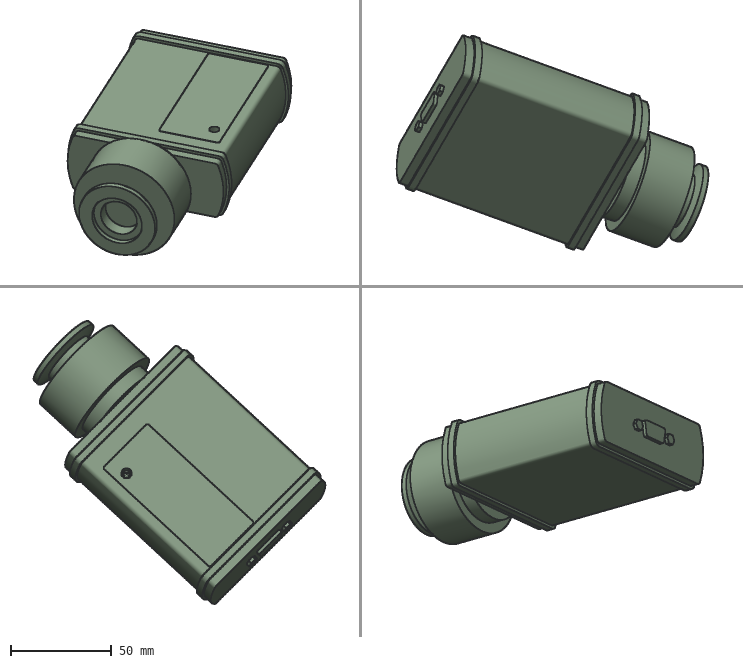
import cadquery as cq
import math

FLANGE_RIM_END = 2.9
NECK_START = 4.6
COLLAR_START = 10.5
SHOULDER_START = 34.8
HOUSING_START = 41.9
FRONT_RIB_START = 46.5
RIB_WIDTH = 3.7
REAR_RIB_START = 133.8
CONNECTOR_HEIGHT = 1.9
OVERALL_LENGTH = 144.0
HOUSING_END = OVERALL_LENGTH - CONNECTOR_HEIGHT

FLANGE_DIAMETER = 40.0
NECK_DIAMETER = 28.0
COLLAR_DIAMETER = 53.0
SHOULDER_DIAMETER = 42.5
COUNTERBORE_DIAMETER = 26.2
COUNTERBORE_DEPTH = 2.7
BORE_DIAMETER = 19.0
BORE_END = 9.6

HOUSING_WIDTH = 82.1
HOUSING_HEIGHT = 32.0
HOUSING_FILLET = 2.2
RIB_SECTION_WIDTH = 84.8
RIB_SECTION_HEIGHT = 35.1
FRONT_RIB_FILLET = 2.5
REAR_RIB_FILLET = 3.6

LABEL_X_MIN = 0.6
LABEL_X_MAX = 32.4
LABEL_Y_MIN = 59.6
LABEL_Y_MAX = 133.2
LABEL_THICKNESS = 0.3
LABEL_CORNER_RADIUS = 1.0

SCREW_X = 26.2
SCREW_Y = 70.0
SCREW_HOLE_DIAMETER = 5.0
SCREW_HOLE_DEPTH = 4.3
CROSS_SLOT_LENGTH = 3.5
CROSS_SLOT_WIDTH = 1.3
CROSS_SLOT_DEPTH = 0.7

SHELL_WIDTH = 16.1
SHELL_HEIGHT = 8.4
SHELL_SIDE_ANGLE = 10
SHELL_CORNER_RADIUS = 1.3
JACK_SCREW_SPACING = 25.0
JACK_SCREW_FLATS = 5.0
HEX_SIDES = 6


def slab(width, height, fillet, y_start, y_end):
    """Round bar along Y cut flat at top and bottom, with its long edges rounded."""
    length = y_end - y_start
    bar = cq.Workplane("XZ", origin=(0, y_start, 0)).circle(width / 2).extrude(-length)
    flats = cq.Workplane("XY").box(width, length, height).translate((0, (y_start + y_end) / 2, 0))
    return bar.intersect(flats).edges("|Y").edges(">Z or <Z").fillet(fillet)


def housing():
    body = slab(HOUSING_WIDTH, HOUSING_HEIGHT, HOUSING_FILLET, HOUSING_START, HOUSING_END)
    for y_start, fillet in ((FRONT_RIB_START, FRONT_RIB_FILLET), (REAR_RIB_START, REAR_RIB_FILLET)):
        body = body.union(slab(RIB_SECTION_WIDTH, RIB_SECTION_HEIGHT, fillet, y_start, y_start + RIB_WIDTH))
    return body


def port():
    """Turned flange, neck, collar and shoulder with a stepped blind bore."""
    profile = [
        (0, BORE_END),
        (BORE_DIAMETER / 2, BORE_END),
        (BORE_DIAMETER / 2, COUNTERBORE_DEPTH),
        (COUNTERBORE_DIAMETER / 2, COUNTERBORE_DEPTH),
        (COUNTERBORE_DIAMETER / 2, 0),
        (FLANGE_DIAMETER / 2, 0),
        (FLANGE_DIAMETER / 2, FLANGE_RIM_END),
        (NECK_DIAMETER / 2, NECK_START),
        (NECK_DIAMETER / 2, COLLAR_START),
        (COLLAR_DIAMETER / 2, COLLAR_START),
        (COLLAR_DIAMETER / 2, SHOULDER_START),
        (SHOULDER_DIAMETER / 2, SHOULDER_START),
        (SHOULDER_DIAMETER / 2, HOUSING_START),
        (0, HOUSING_START),
    ]
    return cq.Workplane("XY").polyline(profile).close().revolve(360, (0, 0, 0), (0, 1, 0))


def label():
    width = LABEL_X_MAX - LABEL_X_MIN
    length = LABEL_Y_MAX - LABEL_Y_MIN
    center = ((LABEL_X_MIN + LABEL_X_MAX) / 2, (LABEL_Y_MIN + LABEL_Y_MAX) / 2, HOUSING_HEIGHT / 2)
    plate = cq.Workplane("XY", origin=center).rect(width, length).extrude(LABEL_THICKNESS)
    return plate.edges("|Z").fillet(LABEL_CORNER_RADIUS)


def screw_recess():
    """Blind hole below the label with a cross slot in its floor."""
    label_top = HOUSING_HEIGHT / 2 + LABEL_THICKNESS
    opening = cq.Workplane("XY", origin=(SCREW_X, SCREW_Y, label_top))
    hole = opening.circle(SCREW_HOLE_DIAMETER / 2).extrude(-SCREW_HOLE_DEPTH)
    floor = opening.workplane(offset=-SCREW_HOLE_DEPTH)
    for size in ((CROSS_SLOT_LENGTH, CROSS_SLOT_WIDTH), (CROSS_SLOT_WIDTH, CROSS_SLOT_LENGTH)):
        hole = hole.union(floor.rect(*size).extrude(-CROSS_SLOT_DEPTH))
    return hole


def connector():
    """D-shaped shell, wider at the top, between two hexagonal jack screws."""
    rear = cq.Workplane("XZ", origin=(0, HOUSING_END, 0))
    slant = SHELL_HEIGHT * math.tan(math.radians(SHELL_SIDE_ANGLE))
    half_angle = math.radians(90 - SHELL_SIDE_ANGLE) / 2
    corner_loss = SHELL_CORNER_RADIUS / math.tan(half_angle) - SHELL_CORNER_RADIUS
    half_top = SHELL_WIDTH / 2 + corner_loss
    half_bottom = half_top - slant
    top = SHELL_HEIGHT / 2
    outline = [(-half_top, top), (half_top, top), (half_bottom, -top), (-half_bottom, -top)]
    shell = rear.polyline(outline).close().extrude(-CONNECTOR_HEIGHT).edges("|Y").fillet(SHELL_CORNER_RADIUS)
    hex_corners = JACK_SCREW_FLATS / math.cos(math.pi / HEX_SIDES)
    half_spacing = JACK_SCREW_SPACING / 2
    screws = rear.pushPoints([(-half_spacing, 0), (half_spacing, 0)]).polygon(HEX_SIDES, hex_corners)
    return shell.union(screws.extrude(-CONNECTOR_HEIGHT))


result = housing().union(port()).union(label()).union(connector()).cut(screw_recess())